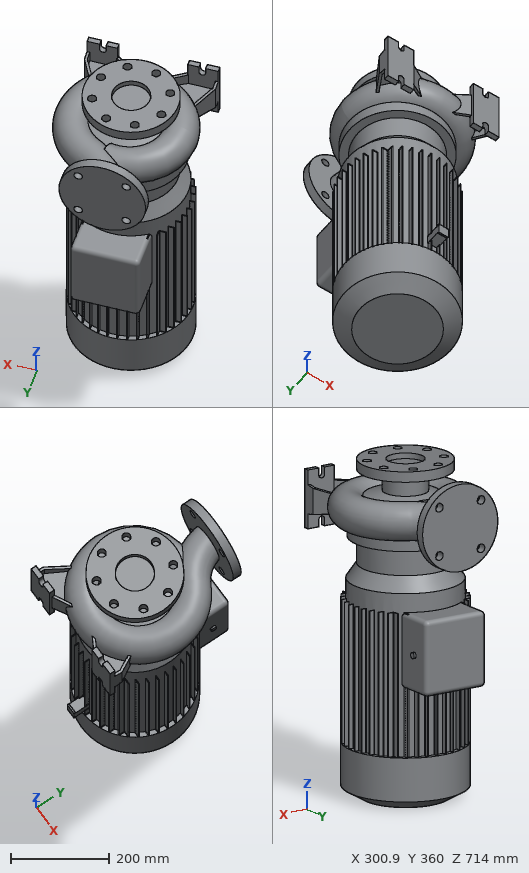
import cadquery as cq
import math


SUCTION_FACE_Z = 100
SUCTION_FLANGE_D = 200
SUCTION_FLANGE_T = 22
SUCTION_NECK_D = 95
SUCTION_BOLT_COUNT = 8
SUCTION_BOLT_CIRCLE_D = 160
SUCTION_BORE_D = 80
SUCTION_BORE_DEPTH = 12

DISCHARGE_FACE_Y = 200
DISCHARGE_FLANGE_D = 185
DISCHARGE_FLANGE_T = 20
DISCHARGE_BOLT_COUNT = 4
DISCHARGE_BOLT_CIRCLE_D = 145
BOLT_HOLE_D = 18

TUBE_R = 40
VOLUTE_R = 110.435
VOLUTE_START_X = -100
VOLUTE_CENTRE_X = VOLUTE_START_X + VOLUTE_R
CASING_R = 110
CASING_NECK_Z = 33
CASING_RIM_Z = 19
TONGUE_TUBE_R = 36
TONGUE_ANGLE = 75

HUB_D = 239
HUB_BOTTOM_Z = -63.5
LANTERN_D = 200
LANTERN_BOTTOM_Z = -120
MOTOR_D = 244
CONE_BOTTOM_Z = -152
FIN_TOP_Z = -192
FIN_BOTTOM_Z = -498
COWL_D = 265
COWL_CHAMFER_Z = -591
MOTOR_BOTTOM_Z = -614
MOTOR_BOTTOM_D = 187
FIN_COUNT = 40
FIN_T = 2

BOX_WIDTH = 148
BOX_HEIGHT = 160
BOX_OUTER_Y = 185
BOX_EDGE_R = 10
GLAND_D = 13
GLAND_LENGTH = 4.5
GLAND_Y = 142

FOOT_BASE_Y = -160
STUB_WIDTH = 24
STUB_HEIGHT = 22
STUB_HEAD_HEIGHT = 26
STUB_HEAD_T = 4
STUB_Z = -456.5

FOOT_OUTER_X = 140
FOOT_WIDTH = 65
FOOT_HEIGHT = 125
FOOT_PLATE_T = 12
FOOT_SLOT_X = 106
FOOT_SLOT_W = 14
FOOT_SLOT_DEPTH = 22
FOOT_WALL_T = 6
FOOT_WEB_T = 10
OUTER_WALL_KNEE_Y = -130
OUTER_WALL_END = (100, -59)
INNER_WALL_END = (20, -123.5)
BRACKET_ROOT_HALF_HEIGHT = 32
BRACKET_END_HALF_HEIGHT = 16


def disc(diameter, bottom_z, top_z):
    """Vertical cylinder on the shaft axis."""
    return cq.Workplane("XY", origin=(0, 0, bottom_z)).circle(diameter / 2).extrude(top_z - bottom_z)


def revolved(profile):
    """Solid of revolution about the shaft axis from (radius, height) points."""
    return cq.Workplane("XZ").polyline(profile).close().revolve(360, (0, 0, 0), (0, 1, 0))


def bolt_holes(plane, count, circle_d, depth):
    """Bolt holes straddling the centrelines of a flange."""
    half_step = 180 / count
    return (
        cq.Workplane(plane)
        .polarArray(circle_d / 2, half_step, 360, count)
        .circle(BOLT_HOLE_D / 2)
        .extrude(-depth)
    )


def suction_branch():
    flange = disc(SUCTION_FLANGE_D, SUCTION_FACE_Z - SUCTION_FLANGE_T, SUCTION_FACE_Z)
    neck = disc(SUCTION_NECK_D, 0, SUCTION_FACE_Z - SUCTION_FLANGE_T)
    face = cq.Plane(origin=(0, 0, SUCTION_FACE_Z))
    holes = bolt_holes(face, SUCTION_BOLT_COUNT, SUCTION_BOLT_CIRCLE_D, SUCTION_FLANGE_T)
    bore = disc(SUCTION_BORE_D, SUCTION_FACE_Z - SUCTION_BORE_DEPTH, SUCTION_FACE_Z)
    return flange.union(neck).cut(holes).cut(bore)


def discharge_flange():
    face = cq.Plane(origin=(0, DISCHARGE_FACE_Y, 0), xDir=(1, 0, 0), normal=(0, 1, 0))
    flange = cq.Workplane(face).circle(DISCHARGE_FLANGE_D / 2).extrude(-DISCHARGE_FLANGE_T)
    return flange.cut(bolt_holes(face, DISCHARGE_BOLT_COUNT, DISCHARGE_BOLT_CIRCLE_D, DISCHARGE_FLANGE_T))


def bend(start_angle, sweep_angle, radius, centre):
    """Round tube bent about a vertical line through centre, from start_angle anticlockwise."""
    section = cq.Workplane("XZ").center(radius, 0).circle(TUBE_R)
    ring = section.revolve(sweep_angle, (-radius, 0, 0), (-radius, 1, 0))
    return ring.rotate((0, 0, 0), (0, 0, 1), start_angle).translate((centre[0], centre[1], 0))


def volute():
    scroll_end_x = VOLUTE_CENTRE_X + VOLUTE_R
    radii_sum = (DISCHARGE_FACE_Y**2 + scroll_end_x**2) / (2 * scroll_end_x)
    return_r = radii_sum - VOLUTE_R
    turn = math.degrees(math.asin(DISCHARGE_FACE_Y / radii_sum))
    scroll = bend(-180, 180 + turn, VOLUTE_R, (VOLUTE_CENTRE_X, 0))
    return_bend = bend(180, turn, return_r, (return_r, DISCHARGE_FACE_Y))

    path_r = -VOLUTE_START_X
    path = cq.Edge.makeCircle(path_r, angle1=TONGUE_ANGLE, angle2=180)
    end_angle = math.radians(TONGUE_ANGLE)
    end_point = cq.Vector(path_r * math.cos(end_angle), path_r * math.sin(end_angle), 0)
    end_normal = cq.Vector(-math.sin(end_angle), math.cos(end_angle), 0)
    end_section = cq.Wire.makeCircle(TONGUE_TUBE_R, end_point, end_normal)
    start_section = cq.Wire.makeCircle(TUBE_R, cq.Vector(VOLUTE_START_X, 0, 0), cq.Vector(0, -1, 0))
    tongue = cq.Workplane(cq.Solid.sweep_multi([end_section, start_section], path))

    casing_profile = [
        (0, 0),
        (CASING_R, 0),
        (CASING_R, CASING_RIM_Z),
        (SUCTION_NECK_D / 2, CASING_NECK_Z),
        (0, CASING_NECK_Z),
    ]
    return revolved(casing_profile).union(scroll).union(return_bend).union(tongue)


def motor():
    profile = [
        (0, 0),
        (HUB_D / 2, 0),
        (HUB_D / 2, HUB_BOTTOM_Z),
        (LANTERN_D / 2, HUB_BOTTOM_Z),
        (LANTERN_D / 2, LANTERN_BOTTOM_Z),
        (MOTOR_D / 2, CONE_BOTTOM_Z),
        (MOTOR_D / 2, FIN_BOTTOM_Z),
        (COWL_D / 2, FIN_BOTTOM_Z),
        (COWL_D / 2, COWL_CHAMFER_Z),
        (MOTOR_BOTTOM_D / 2, MOTOR_BOTTOM_Z),
        (0, MOTOR_BOTTOM_Z),
    ]
    return revolved(profile)


def cooling_fins():
    """Thin fins, evenly spaced round the motor, each parallel to the nearer of the X and Y axes."""
    cowl_r = COWL_D / 2
    height = FIN_TOP_Z - FIN_BOTTOM_Z
    fins_per_side = FIN_COUNT // 4
    step = 360 / FIN_COUNT
    side = cq.Workplane("XY")
    for index in range(fins_per_side):
        angle = math.radians((index - (fins_per_side - 1) / 2) * step)
        fin = (
            cq.Workplane("XY", origin=(0, cowl_r * math.sin(angle), FIN_BOTTOM_Z))
            .box(cowl_r, FIN_T, height, centered=(False, True, False))
        )
        side = side.add(fin)
    fins = cq.Workplane("XY")
    for quarter in range(4):
        fins = fins.add(side.rotate((0, 0, 0), (0, 0, 1), 90 * quarter))
    return fins.combine().intersect(disc(COWL_D, FIN_BOTTOM_Z, FIN_TOP_Z))


def terminal_box():
    centre_z = FIN_TOP_Z - BOX_HEIGHT / 2
    box = (
        cq.Workplane("XY", origin=(0, 0, centre_z))
        .box(BOX_WIDTH, BOX_OUTER_Y, BOX_HEIGHT, centered=(True, False, True))
        .edges("|Y or >Y")
        .fillet(BOX_EDGE_R)
    )
    gland = (
        cq.Workplane("YZ", origin=(0, GLAND_Y, centre_z))
        .circle(GLAND_D / 2)
        .extrude(BOX_WIDTH / 2 + GLAND_LENGTH)
    )
    return box.union(gland)


def drain_stub():
    shank = (
        cq.Workplane("XY", origin=(0, FOOT_BASE_Y, STUB_Z))
        .box(STUB_WIDTH, -FOOT_BASE_Y, STUB_HEIGHT, centered=(True, False, True))
    )
    head = (
        cq.Workplane("XY", origin=(0, FOOT_BASE_Y, STUB_Z))
        .box(STUB_WIDTH, STUB_HEAD_T, STUB_HEAD_HEIGHT, centered=(True, False, True))
    )
    return shank.union(head)


def foot():
    """Foot on the +X side: slotted plate joined to the volute by two walls and a web."""
    plate_top_y = FOOT_BASE_Y + FOOT_PLATE_T
    inner_x = FOOT_OUTER_X - FOOT_WIDTH
    plate = cq.Workplane("XY").box(FOOT_WIDTH, FOOT_PLATE_T, FOOT_HEIGHT)
    plate = plate.translate((FOOT_OUTER_X - FOOT_WIDTH / 2, FOOT_BASE_Y + FOOT_PLATE_T / 2, 0))
    slot_length = 2 * FOOT_SLOT_DEPTH
    for end in (-1, 1):
        slot = (
            cq.Workplane("XZ", origin=(FOOT_SLOT_X, plate_top_y, end * FOOT_HEIGHT / 2))
            .slot2D(slot_length, FOOT_SLOT_W, 90)
            .extrude(FOOT_PLATE_T)
        )
        plate = plate.cut(slot)

    return plate.union(foot_bracket(inner_x, plate_top_y))


def foot_bracket(inner_x, plate_top_y):
    """Bracket between plate and volute: pocketed above and below its web, thinning towards the volute."""
    base_y = plate_top_y - FOOT_WALL_T
    outline = [
        (inner_x, base_y),
        (FOOT_OUTER_X, base_y),
        (FOOT_OUTER_X, OUTER_WALL_KNEE_Y),
        OUTER_WALL_END,
        INNER_WALL_END,
    ]
    block = cq.Workplane("XY").polyline(outline).close().extrude(BRACKET_ROOT_HALF_HEIGHT, both=True)
    pockets = (
        cq.Workplane("XY")
        .polyline(outline)
        .close()
        .offset2D(-FOOT_WALL_T)
        .extrude(BRACKET_ROOT_HALF_HEIGHT, both=True)
    )
    web = cq.Workplane("XY").box(2 * FOOT_OUTER_X, 2 * DISCHARGE_FACE_Y, FOOT_WEB_T)
    taper = (
        cq.Workplane("YZ")
        .moveTo(base_y, -BRACKET_ROOT_HALF_HEIGHT)
        .lineTo(base_y, BRACKET_ROOT_HALF_HEIGHT)
        .lineTo(OUTER_WALL_END[1], BRACKET_END_HALF_HEIGHT)
        .lineTo(OUTER_WALL_END[1], -BRACKET_END_HALF_HEIGHT)
        .close()
        .extrude(FOOT_OUTER_X)
    )
    return block.cut(pockets.cut(web)).intersect(taper)


def pump_feet():
    right_foot = foot()
    return right_foot.union(right_foot.mirror("YZ"))


result = (
    motor()
    .union(cooling_fins())
    .union(terminal_box())
    .union(drain_stub())
    .union(suction_branch())
    .union(volute())
    .union(discharge_flange())
    .union(pump_feet())
)